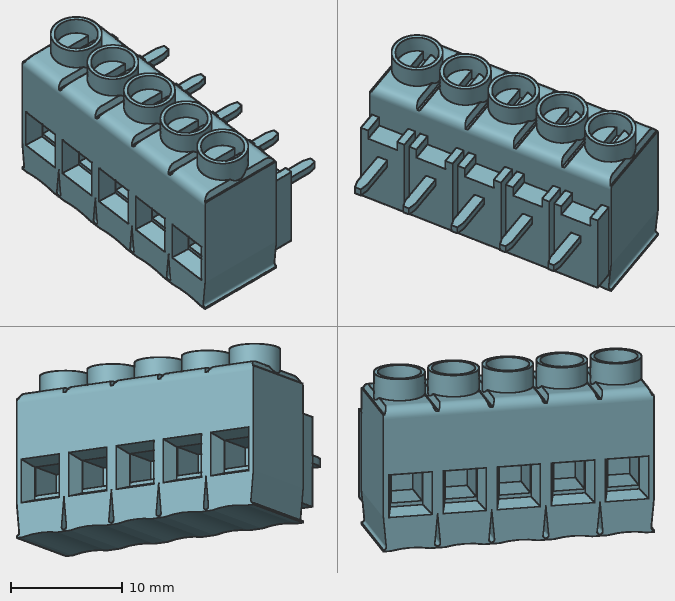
import cadquery as cq


pole_count = 5
pitch = 5.0
length = pole_count * pitch
body_depth = 8.5
body_height = 13.45
edge_radius = 1.0

groove_depth = 0.6
groove_top_half = 0.4
groove_bottom_half = 0.12
slot_tip_z = 3.2
slot_radius = 0.26
slot_centre_z = 0.42

arch_width = 3.6
arch_rise = 0.18

entry_width = 4.0
entry_bottom_z = 3.18
entry_height = 4.02
funnel_inset = 0.5
funnel_depth = 1.5
pocket_width = 2.85
pocket_bottom_z = 4.05
pocket_end_y = 5.0

collar_diameter = 4.6
collar_top_z = 15.45
collar_y = 4.27
bore_top_diameter = 3.9
bore_bottom_diameter = 3.7
bore_depth = 1.55
screw_slot_width = 0.8
screw_slot_depth = 1.0

pad_width = 4.5
pad_end_y = 10.5
pad_bottom_z = 1.9
pad_top_z = 10.2
notch_width = 3.0
notch_depth = 1.0

pin_width = 1.0
pin_thickness = 0.75
pin_centre_z = 7.08
pin_end_y = 15.0
pin_tip_width = 0.6
pin_tip_length = 0.8

pole_centres = [(i + 0.5) * pitch for i in range(pole_count)]
pole_boundaries = [i * pitch for i in range(pole_count + 1)]


def block(width, x, y_start, y_end, z_start, z_end):
    """Box centred on x, given by its Y and Z limits."""
    size = (width, y_end - y_start, z_end - z_start)
    return cq.Workplane("XY").box(*size, centered=(True, False, False)).translate((x, y_start, z_start))


def along_body(outline):
    """Extrude a closed XZ outline through the full depth of the housing."""
    return outline.extrude(-body_depth)


def housing():
    body = cq.Workplane("XY").box(length, body_depth, body_height, centered=False)
    return body.edges(">Z and |X").fillet(edge_radius)


def groove(x):
    bottom_z = body_height - groove_depth
    outline = cq.Workplane("XZ").polyline([
        (x - groove_top_half, body_height),
        (x - groove_bottom_half, bottom_z),
        (x + groove_bottom_half, bottom_z),
        (x + groove_top_half, body_height),
    ]).close()
    return along_body(outline)


def teardrop_slot(x):
    outline = (
        cq.Workplane("XZ")
        .moveTo(x, slot_tip_z)
        .lineTo(x - slot_radius, slot_centre_z)
        .threePointArc((x, slot_centre_z - slot_radius), (x + slot_radius, slot_centre_z))
        .close()
    )
    return along_body(outline)


def arch(x):
    outline = (
        cq.Workplane("XZ")
        .moveTo(x - arch_width / 2, 0)
        .threePointArc((x, arch_rise), (x + arch_width / 2, 0))
        .close()
    )
    return along_body(outline)


def wire_entry(x):
    funnel_centre_z = entry_bottom_z + entry_height / 2
    funnel_top_z = entry_bottom_z + entry_height - funnel_inset
    funnel = (
        cq.Workplane("XZ", origin=(x, 0, funnel_centre_z))
        .rect(entry_width, entry_height)
        .workplane(offset=-funnel_depth)
        .rect(entry_width - 2 * funnel_inset, entry_height - 2 * funnel_inset)
        .loft(ruled=True)
    )
    pocket = block(pocket_width, x, funnel_depth, pocket_end_y, pocket_bottom_z, funnel_top_z)
    return funnel.union(pocket)


def screw_collar(x):
    start_z = body_height - groove_depth
    screw_z = collar_top_z - bore_depth
    collar = (
        cq.Workplane("XY", origin=(x, collar_y, start_z))
        .circle(collar_diameter / 2)
        .extrude(collar_top_z - start_z)
    )
    bore = (
        cq.Workplane("XY", origin=(x, collar_y, screw_z))
        .circle(bore_bottom_diameter / 2)
        .workplane(offset=bore_depth)
        .circle(bore_top_diameter / 2)
        .loft(ruled=True)
    )
    return collar, bore


def screw_slot(x):
    """Screwdriver slot across the screw head, ending at the foot of the bore wall."""
    screw_z = collar_top_z - bore_depth
    half_length = bore_bottom_diameter / 2
    bar = block(
        screw_slot_width, x,
        collar_y - half_length, collar_y + half_length,
        screw_z - screw_slot_depth, screw_z,
    )
    head = (
        cq.Workplane("XY", origin=(x, collar_y, screw_z))
        .circle(half_length)
        .extrude(-screw_slot_depth)
    )
    return bar.intersect(head)


def rear_pad(x):
    pad = block(pad_width, x, body_depth, pad_end_y, pad_bottom_z, pad_top_z)
    notch = block(notch_width, x, body_depth, pad_end_y, pad_top_z - notch_depth, pad_top_z)
    return pad.cut(notch)


def solder_pin(x):
    taper_y = pin_end_y - pin_tip_length
    return (
        cq.Workplane("XY", origin=(0, 0, pin_centre_z - pin_thickness / 2))
        .polyline([
            (x - pin_width / 2, body_depth),
            (x - pin_width / 2, taper_y),
            (x - pin_tip_width / 2, pin_end_y),
            (x + pin_tip_width / 2, pin_end_y),
            (x + pin_width / 2, taper_y),
            (x + pin_width / 2, body_depth),
        ])
        .close()
        .extrude(pin_thickness)
    )


result = housing()

for boundary in pole_boundaries:
    result = result.cut(groove(boundary)).cut(teardrop_slot(boundary))

for centre in pole_centres:
    collar, bore = screw_collar(centre)
    result = result.cut(arch(centre)).cut(wire_entry(centre))
    result = result.union(collar).cut(bore).cut(screw_slot(centre))
    result = result.union(rear_pad(centre)).union(solder_pin(centre))